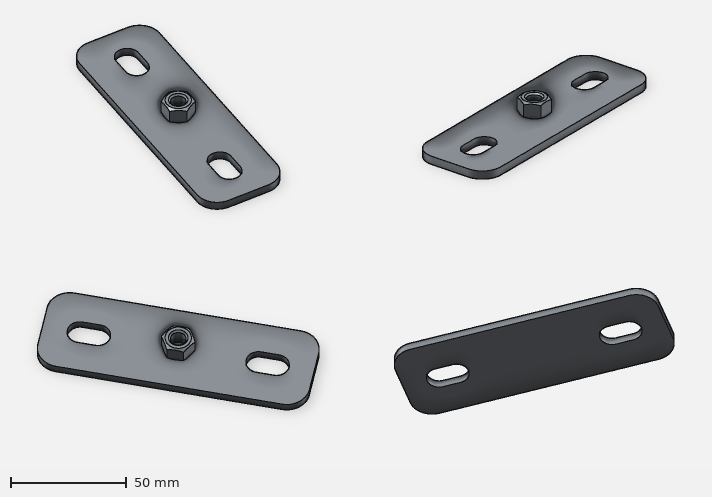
import cadquery as cq
import math

plate_length = 120.0
plate_width = plate_length / 3
plate_thickness = plate_length / 30
corner_radius = plate_width / 4

slot_length = 19.0
slot_width = 11.0
slot_offset = 39.5

total_height = 12.0
nut_height = total_height - plate_thickness
nut_across_flats = 13.0
nut_across_corners = nut_across_flats / math.cos(math.radians(30))
nut_face_diameter = 11.4
nut_chamfer_angle = 30.0

bore_diameter = 6.7
bore_mouth_diameter = 8.4
bore_chamfer = (bore_mouth_diameter - bore_diameter) / 2


def make_plate():
    plate = cq.Workplane("XY").box(
        plate_length, plate_width, plate_thickness, centered=(True, True, False)
    )
    plate = plate.edges("|Z").fillet(corner_radius)
    slots = (
        cq.Workplane("XY")
        .pushPoints([(-slot_offset, 0), (slot_offset, 0)])
        .slot2D(slot_length, slot_width)
        .extrude(plate_thickness)
    )
    return plate.cut(slots)


def make_nut():
    hexagon = cq.Workplane("XY").polygon(6, nut_across_corners).extrude(nut_height)

    face_radius = nut_face_diameter / 2
    corner_reach = nut_across_corners / 2
    bevel_height = (corner_reach - face_radius) * math.tan(math.radians(nut_chamfer_angle))
    bevel_envelope = (
        cq.Workplane("XZ")
        .polyline([
            (0, 0),
            (face_radius, 0),
            (corner_reach, bevel_height),
            (corner_reach, nut_height - bevel_height),
            (face_radius, nut_height),
            (0, nut_height),
        ])
        .close()
        .revolve(360, (0, 0), (0, 1))
    )
    nut = hexagon.intersect(bevel_envelope)

    bore = cq.Workplane("XY").circle(bore_diameter / 2).extrude(nut_height)
    countersink = cq.Workplane("XY").add(
        cq.Solid.makeCone(
            bore_diameter / 2,
            bore_mouth_diameter / 2,
            bore_chamfer,
            pnt=cq.Vector(0, 0, nut_height - bore_chamfer),
        )
    )
    return nut.cut(bore).cut(countersink)


result = make_plate().union(make_nut().translate((0, 0, plate_thickness)))